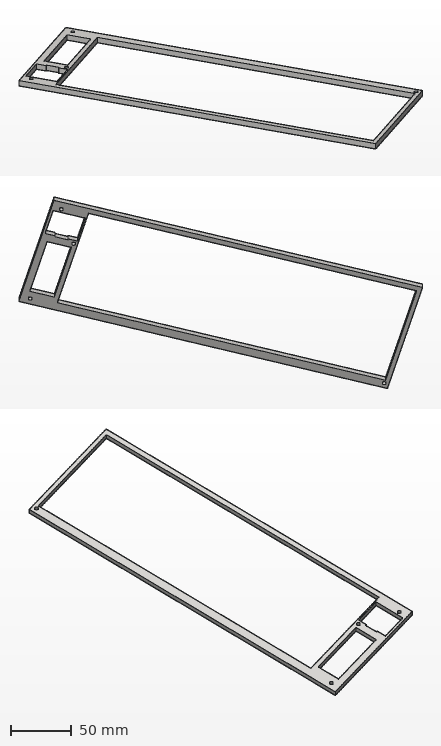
import cadquery as cq

length = 315.5
width = 105.0
thickness = 5.0

left = -length / 2
right = length / 2
front = -width / 2
back = width / 2

main_left_rail = 31.0
main_right_rail = 3.8
main_front_rail = 4.7
main_back_rail = 7.5

tall_left_offset = 6.0
tall_back_offset = 12.3
tall_width = 20.8
tall_height = 51.5

small_left_offset = 2.2
small_front_offset = 10.0
small_width = 27.5
small_height = 23.7

notch_left_offset = 10.7
notch_width = 11.0
notch_depth = 1.0

hole_diameter = 3.05
hole_centers = [
    (left + 8.2, back - 5.5),
    (left + 27.5, back - 67.8),
    (left + 8.2, front + 7.0),
    (right - 4.0, back - 4.5),
]


def window(x_min, x_max, y_min, y_max):
    """Rectangular cutter through the full plate thickness."""
    return (
        cq.Workplane("XY")
        .center((x_min + x_max) / 2, (y_min + y_max) / 2)
        .rect(x_max - x_min, y_max - y_min)
        .extrude(thickness, both=True)
    )


plate = cq.Workplane("XY").box(length, width, thickness)

main_window = window(
    left + main_left_rail,
    right - main_right_rail,
    front + main_front_rail,
    back - main_back_rail,
)

tall_left = left + tall_left_offset
tall_back = back - tall_back_offset
tall_window = window(tall_left, tall_left + tall_width, tall_back - tall_height, tall_back)

small_left = left + small_left_offset
small_front = front + small_front_offset
small_back = small_front + small_height
small_window = window(small_left, small_left + small_width, small_front, small_back)

notch_left = left + notch_left_offset
notch = window(notch_left, notch_left + notch_width, small_front, small_back + notch_depth)

holes = (
    cq.Workplane("XY")
    .pushPoints(hole_centers)
    .circle(hole_diameter / 2)
    .extrude(thickness, both=True)
)

result = plate
for cutter in (main_window, tall_window, small_window, notch, holes):
    result = result.cut(cutter)